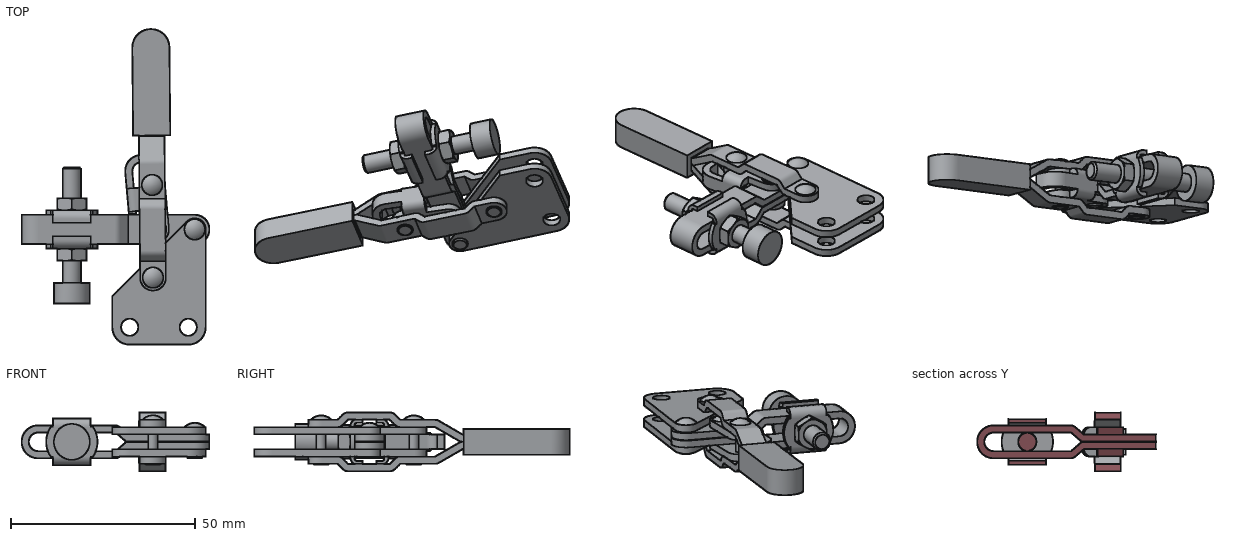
import cadquery as cq
import math


SHEET = 2.0
INNER_LAYER = SHEET
MIDDLE_LAYER = INNER_LAYER + SHEET
OUTER_LAYER = MIDDLE_LAYER + SHEET

SHANK_RADIUS = 1.3
HEAD_RADIUS = 2.8
HEAD_HEIGHT = 1.2
TAIL_RADIUS = 2.15
TAIL_TIP_RADIUS = 1.8
LONG_TAIL = 0.5
SHORT_TAIL = 0.25

LINK_ARM_PIVOT = (-10.5, 0.0)
HANDLE_BASE_PIVOT = (-11.33, -13.1)
HANDLE_LINK_PIVOT = (-11.56, 12.05)

BASE_LEFT = -22.4
BASE_BOTTOM = -31.3
BASE_PIVOT_RADIUS = 3.0
BASE_CORNER = 4.75
MOUNT_HOLE_DIAMETER = 4.6

ARM_WIDTH = 8.0
ARM_TIP = -47.0
ARM_LOOP_RADIUS = 4.5
ARM_PINCH_X = -18.0
ARM_PINCH_ANGLE = math.radians(41)
ARM_BEND_RADIUS = 2.1
ARM_GAP = 0.2

LINK_END_RADIUS = 3.5
WEB_OFFSET = 7.0
WEB_BOTTOM = 5.4
WEB_TOP = 11.7
STOP_BOTTOM = 4.7
HOOK_CENTRE = 16.1
HOOK_INNER_RADIUS = 2.4

HANDLE_WIDTH = 7.0
BULGE_ANGLE = math.radians(45)
BULGE_START = 7.3
BULGE_END = 18.6
TAPER_START = 30.9
TAPER_ANGLE = math.radians(30)
GRIP_START = 38.6
GRIP_END = 67.5
GRIP_WIDTH = 10.15
GRIP_THICKNESS = 7.1

SPINDLE_X = -33.35
SCREW_DIAMETER = 5.0
SCREW_TOP = 16.9
SCREW_CHAMFER = 0.5
FOOT_DIAMETER = 9.75
FOOT_TOP = -14.5
FOOT_BOTTOM = -20.15
NUT_FLATS = 8.0
NUT_HEIGHT = 3.25
NUT_CHAMFER_WIDTH = 0.5
NUT_CHAMFER_HEIGHT = 0.25
WASHER_RADIUS = 7.0
WASHER_THICKNESS = 1.25
EAR_BEND_RADIUS = 2.35
EAR_WIDTH = 10.24
EAR_TOP = 6.4
EAR_END = 1.85


def axis_angle(start, end):
    """Rotation about Z, in degrees, that turns +Y toward the line from start to end."""
    return math.degrees(math.atan2(start[0] - end[0], end[1] - start[1]))


def place(body, pivot, angle):
    """Move a part built along +Y from the origin to its pivot and direction."""
    return body.rotate((0, 0, 0), (0, 0, 1), angle).translate((*pivot, 0))


def shank_hole(pivot):
    """Cutter for a rivet shank through the whole clamp."""
    return cq.Workplane("XY").center(*pivot).circle(SHANK_RADIUS).extrude(2 * OUTER_LAYER, both=True)


def rivet(pivot, half_length, tail):
    """Rivet with a domed head at +Z and a tapered tail at -Z."""
    sphere_radius = (HEAD_RADIUS**2 + HEAD_HEIGHT**2) / (2 * HEAD_HEIGHT)
    top = half_length + HEAD_HEIGHT
    return (
        cq.Workplane("XZ")
        .moveTo(0, -half_length - tail)
        .lineTo(TAIL_TIP_RADIUS, -half_length - tail)
        .lineTo(TAIL_RADIUS, -half_length)
        .lineTo(SHANK_RADIUS, -half_length)
        .lineTo(SHANK_RADIUS, half_length)
        .lineTo(HEAD_RADIUS, half_length)
        .radiusArc((0, top), -sphere_radius)
        .close()
        .revolve(360, (0, 0), (0, 1))
        .translate((*pivot, 0))
    )


def make_base():
    """Two flat plates held together by the arm's pivot rivet."""
    slope_shift = BASE_PIVOT_RADIUS * math.sqrt(2)
    tangent = BASE_PIVOT_RADIUS / math.sqrt(2)
    profile = (
        cq.Workplane("XY")
        .workplane(offset=INNER_LAYER)
        .moveTo(BASE_LEFT, BASE_BOTTOM)
        .lineTo(BASE_PIVOT_RADIUS, BASE_BOTTOM)
        .lineTo(BASE_PIVOT_RADIUS, 0)
        .radiusArc((-tangent, tangent), -BASE_PIVOT_RADIUS)
        .lineTo(BASE_LEFT, BASE_LEFT + slope_shift)
        .close()
    )
    hole_y = BASE_BOTTOM + BASE_CORNER
    holes = [(BASE_LEFT + BASE_CORNER, hole_y), (BASE_PIVOT_RADIUS - BASE_CORNER, hole_y)]
    plate = (
        profile.extrude(SHEET)
        .edges("|Z and <Y")
        .fillet(BASE_CORNER)
        .cut(cq.Workplane("XY").pushPoints(holes).circle(MOUNT_HOLE_DIAMETER / 2).extrude(MIDDLE_LAYER))
        .cut(shank_hole(HANDLE_BASE_PIVOT))
    )
    return plate.union(plate.mirror("XY")).union(rivet((0, 0), MIDDLE_LAYER, LONG_TAIL))


def make_arm():
    """Strip folded into a loop at its tip and pinched together toward its pivot."""
    sine = math.sin(ARM_PINCH_ANGLE)
    cosine = math.cos(ARM_PINCH_ANGLE)
    slope = math.tan(ARM_PINCH_ANGLE)
    half_gap = ARM_GAP / 2
    loop_inside = ARM_LOOP_RADIUS - SHEET
    loop_x = ARM_TIP + ARM_LOOP_RADIUS

    bend_drop = ARM_BEND_RADIUS * (1 - cosine)
    bend_end_z = ARM_LOOP_RADIUS - bend_drop
    bend_end_x = ARM_PINCH_X - (bend_end_z - INNER_LAYER) / slope
    bend_start_x = bend_end_x - ARM_BEND_RADIUS * sine

    strand = INNER_LAYER - half_gap
    inside_end_x = ARM_PINCH_X - strand * math.tan(ARM_PINCH_ANGLE / 2)
    inside_start_x = inside_end_x - (loop_inside - half_gap) / slope

    strand_half = (
        cq.Workplane("XZ")
        .moveTo(loop_x, ARM_LOOP_RADIUS)
        .lineTo(bend_start_x, ARM_LOOP_RADIUS)
        .radiusArc((bend_end_x, bend_end_z), ARM_BEND_RADIUS)
        .lineTo(ARM_PINCH_X, INNER_LAYER)
        .lineTo(0, INNER_LAYER)
        .lineTo(0, half_gap)
        .lineTo(inside_end_x, half_gap)
        .lineTo(inside_start_x, loop_inside)
        .lineTo(loop_x, loop_inside)
        .radiusArc((loop_x - loop_inside, 0), -loop_inside)
        .lineTo(ARM_TIP, 0)
        .radiusArc((loop_x, ARM_LOOP_RADIUS), ARM_LOOP_RADIUS)
        .close()
        .extrude(ARM_WIDTH / 2, both=True)
    )
    pivot_eye = cq.Workplane("XY").workplane(offset=half_gap).circle(ARM_WIDTH / 2).extrude(strand)
    strand_half = strand_half.union(pivot_eye)
    arm = strand_half.union(strand_half.mirror("XY"))
    return arm.cut(shank_hole((0, 0))).cut(shank_hole(LINK_ARM_PIVOT))


def make_link():
    """Two plates joined by a bent web whose narrow continuation curls into a hook."""
    length = math.dist(LINK_ARM_PIVOT, HANDLE_LINK_PIVOT)
    web_inside = WEB_OFFSET - SHEET
    hook_outer = HOOK_INNER_RADIUS + SHEET
    hook_x = hook_outer - WEB_OFFSET

    plates = (
        cq.Workplane("XY")
        .center(0, length / 2)
        .slot2D(length + 2 * LINK_END_RADIUS, 2 * LINK_END_RADIUS, 90)
        .extrude(MIDDLE_LAYER, both=True)
    )
    channel = (
        cq.Workplane("XZ", origin=(0, WEB_TOP, 0))
        .moveTo(0, MIDDLE_LAYER)
        .lineTo(-web_inside, MIDDLE_LAYER)
        .radiusArc((-WEB_OFFSET, INNER_LAYER), -SHEET)
        .lineTo(-WEB_OFFSET, -INNER_LAYER)
        .radiusArc((-web_inside, -MIDDLE_LAYER), -SHEET)
        .lineTo(0, -MIDDLE_LAYER)
        .close()
        .extrude(WEB_TOP - WEB_BOTTOM)
    )
    inside = (
        cq.Workplane("XY")
        .rect(2 * web_inside, 4 * length)
        .extrude(INNER_LAYER, both=True)
    )
    hook = (
        cq.Workplane("XY")
        .moveTo(-WEB_OFFSET, STOP_BOTTOM)
        .lineTo(-WEB_OFFSET, HOOK_CENTRE)
        .radiusArc((hook_x, HOOK_CENTRE + hook_outer), hook_outer)
        .lineTo(0, HOOK_CENTRE + hook_outer)
        .lineTo(0, HOOK_CENTRE + HOOK_INNER_RADIUS)
        .lineTo(hook_x, HOOK_CENTRE + HOOK_INNER_RADIUS)
        .radiusArc((-web_inside, HOOK_CENTRE), -HOOK_INNER_RADIUS)
        .lineTo(-web_inside, STOP_BOTTOM)
        .close()
        .extrude(INNER_LAYER, both=True)
    )
    local = plates.union(channel).cut(inside).union(hook)
    link = place(local, LINK_ARM_PIVOT, axis_angle(LINK_ARM_PIVOT, HANDLE_LINK_PIVOT))
    return link.cut(shank_hole(HANDLE_LINK_PIVOT)).union(rivet(LINK_ARM_PIVOT, MIDDLE_LAYER, LONG_TAIL))


def make_handle():
    """Two mirrored legs that bulge around the arm and meet in the grip, with both handle rivets."""
    bulge_rise = SHEET * math.cos(BULGE_ANGLE)
    bulge_run = SHEET * math.sin(BULGE_ANGLE)
    bulge_layer = OUTER_LAYER + SHEET
    leg_end = BULGE_START - 2 * bulge_run
    leg_restart = BULGE_END + 2 * bulge_run
    taper_rise = SHEET * math.cos(TAPER_ANGLE)
    taper_run = SHEET * math.sin(TAPER_ANGLE)
    taper_drop = OUTER_LAYER - SHEET - (SHEET - taper_rise)
    taper_end = TAPER_START + taper_run + taper_drop / math.tan(TAPER_ANGLE)

    leg = (
        cq.Workplane("YZ")
        .moveTo(0, OUTER_LAYER)
        .lineTo(leg_end, OUTER_LAYER)
        .lineTo(BULGE_START - bulge_run, OUTER_LAYER + bulge_rise)
        .radiusArc((BULGE_START, bulge_layer), SHEET)
        .lineTo(BULGE_END, bulge_layer)
        .radiusArc((BULGE_END + bulge_run, OUTER_LAYER + bulge_rise), SHEET)
        .lineTo(leg_restart, OUTER_LAYER)
        .lineTo(TAPER_START, OUTER_LAYER)
        .radiusArc((TAPER_START + taper_run, MIDDLE_LAYER + taper_rise), SHEET)
        .lineTo(taper_end, SHEET)
        .lineTo(GRIP_START, SHEET)
        .lineTo(GRIP_START, 0)
        .lineTo(taper_end, 0)
        .radiusArc((taper_end - taper_run, SHEET - taper_rise), SHEET)
        .lineTo(TAPER_START, MIDDLE_LAYER)
        .lineTo(leg_restart, MIDDLE_LAYER)
        .radiusArc((leg_restart - bulge_run, OUTER_LAYER - bulge_rise), SHEET)
        .lineTo(BULGE_END, OUTER_LAYER)
        .lineTo(BULGE_START, OUTER_LAYER)
        .lineTo(leg_end + bulge_run, OUTER_LAYER - bulge_rise)
        .radiusArc((leg_end, MIDDLE_LAYER), SHEET)
        .lineTo(0, MIDDLE_LAYER)
        .close()
        .extrude(HANDLE_WIDTH / 2, both=True)
    )
    eye = cq.Workplane("XY").workplane(offset=MIDDLE_LAYER).circle(HANDLE_WIDTH / 2).extrude(SHEET)
    leg = leg.union(eye)

    half_grip = GRIP_WIDTH / 2
    round_start = GRIP_END - half_grip
    grip = (
        cq.Workplane("XY")
        .moveTo(-half_grip, GRIP_START)
        .lineTo(-half_grip, round_start)
        .radiusArc((half_grip, round_start), half_grip)
        .lineTo(half_grip, GRIP_START)
        .close()
        .extrude(GRIP_THICKNESS / 2, both=True)
    )
    local = leg.union(leg.mirror("XY")).union(grip)
    handle = place(local, HANDLE_BASE_PIVOT, axis_angle(HANDLE_BASE_PIVOT, HANDLE_LINK_PIVOT))
    for pivot in (HANDLE_BASE_PIVOT, HANDLE_LINK_PIVOT):
        handle = handle.union(rivet(pivot, OUTER_LAYER, SHORT_TAIL))
    return handle


def cylinder(diameter, bottom, top):
    """Cylinder along Y on the spindle axis."""
    return cq.Workplane("XZ", origin=(0, top, 0)).circle(diameter / 2).extrude(top - bottom)


def clamp_side():
    """Eared washer and nut on the +Y side of the arm, on the spindle axis."""
    washer_inside = ARM_WIDTH / 2
    washer_outside = washer_inside + WASHER_THICKNESS
    bend_y = washer_outside - EAR_BEND_RADIUS
    bend_z = EAR_TOP - EAR_BEND_RADIUS
    ear_underside = EAR_TOP - WASHER_THICKNESS
    bend_inside = ear_underside - ARM_LOOP_RADIUS
    flat = cylinder(2 * WASHER_RADIUS, washer_inside, washer_outside).intersect(
        cq.Workplane("XY").box(2 * WASHER_RADIUS, 2 * ARM_WIDTH, 2 * bend_z)
    )
    ear = (
        cq.Workplane("YZ")
        .moveTo(washer_outside, bend_z)
        .radiusArc((bend_y, EAR_TOP), -EAR_BEND_RADIUS)
        .lineTo(EAR_END, EAR_TOP)
        .lineTo(EAR_END, ear_underside)
        .lineTo(washer_inside - bend_inside, ear_underside)
        .radiusArc((washer_inside, ARM_LOOP_RADIUS), bend_inside)
        .lineTo(washer_inside, bend_z)
        .close()
        .extrude(EAR_WIDTH / 2, both=True)
    )
    nut_corners = NUT_FLATS / math.cos(math.pi / 6)
    nut_top = washer_outside + NUT_HEIGHT
    nut = (
        cq.Workplane("XZ", origin=(0, nut_top, 0))
        .transformed(rotate=(0, 0, 90))
        .polygon(6, nut_corners)
        .extrude(NUT_HEIGHT)
    )
    nut_blank = (
        cylinder(nut_corners, washer_outside, nut_top)
        .faces("|Y")
        .chamfer(NUT_CHAMFER_HEIGHT, NUT_CHAMFER_WIDTH)
    )
    return flat.union(ear).union(ear.mirror("XY")).union(nut.intersect(nut_blank))


def make_spindle():
    """Pressing screw with its foot, clamped to the arm by a washer and nut on each side."""
    screw = cylinder(SCREW_DIAMETER, FOOT_TOP, SCREW_TOP).faces(">Y").chamfer(SCREW_CHAMFER)
    foot = cylinder(FOOT_DIAMETER, FOOT_BOTTOM, FOOT_TOP)
    side = clamp_side()
    spindle = screw.union(foot).union(side).union(side.mirror("XZ"))
    return spindle.translate((SPINDLE_X, 0, 0))


base = make_base()
arm = make_arm()
link = make_link()
handle = make_handle()
spindle = make_spindle()

result = cq.Compound.makeCompound([base.val(), arm.val(), link.val(), handle.val(), spindle.val()])